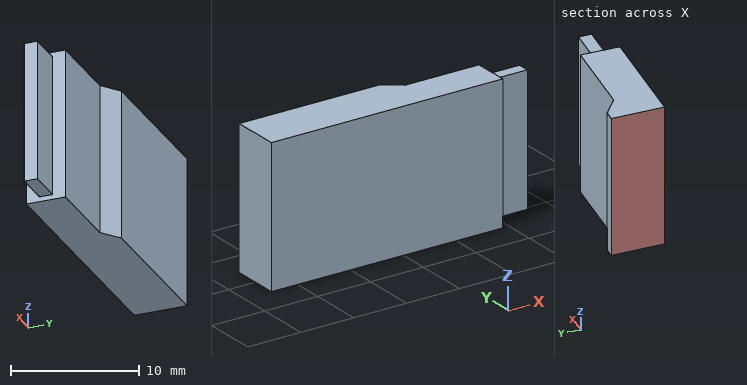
import cadquery as cq

total_length = 24.99
body_length = 21.89
body_height = 12.75
thick_depth = 4.5
thin_depth = 3.33
ramp_start = 13.33
ramp_end = 14.9

tab_length = total_length - body_length
tab_height = 11.93
tab_thickness = 1.12
tab_offset = 1.135


def make_body():
    """Stepped outline in XY, extruded along Z."""
    outline = [
        (0, 0),
        (body_length, 0),
        (body_length, thin_depth),
        (ramp_end, thin_depth),
        (ramp_start, thick_depth),
        (0, thick_depth),
    ]
    return cq.Workplane("XY").polyline(outline).close().extrude(body_height)


def make_tab():
    """Flat tongue that starts on the end face of the body."""
    tab_base = (body_height - tab_height) / 2
    tab = cq.Workplane("XY").box(tab_length, tab_thickness, tab_height, centered=False)
    return tab.translate((body_length, tab_offset, tab_base))


result = make_body().union(make_tab())